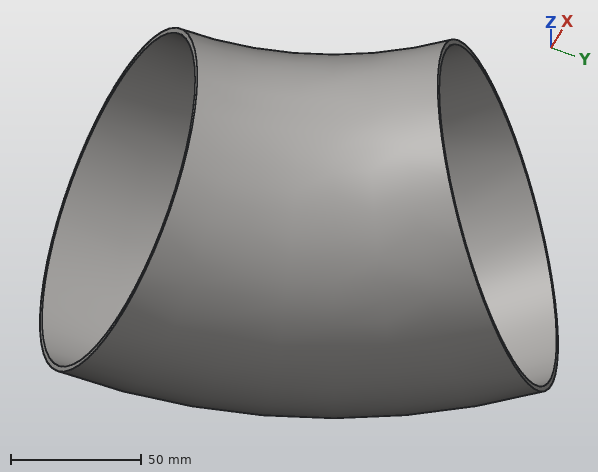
import cadquery as cq
import math

overall_length = 184.1
outer_diameter = 139.7
wall_thickness = 2.0
bend_angle = 45.0

outer_radius = outer_diameter / 2
inner_radius = outer_radius - wall_thickness

bend_radius = overall_length / math.sin(math.radians(bend_angle)) - outer_radius


def make_elbow():
    """Revolve the ring-shaped pipe section about a vertical axis at +X."""
    section = cq.Workplane("XZ").circle(outer_radius).circle(inner_radius)
    axis_start = (bend_radius, 0)
    axis_end = (bend_radius, -1)
    return section.revolve(bend_angle, axis_start, axis_end)


result = make_elbow()